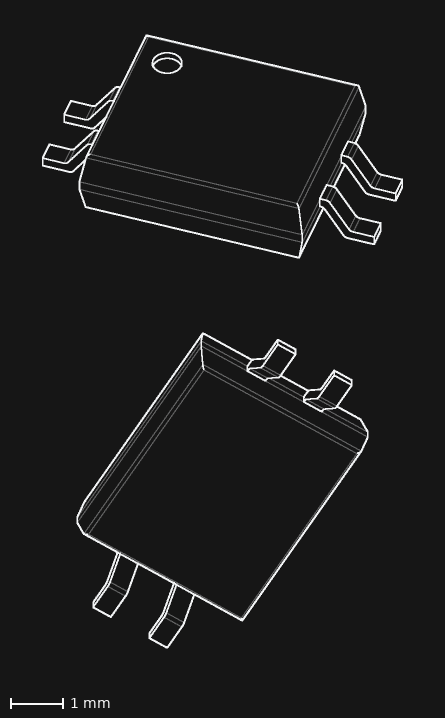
import cadquery as cq
import math

overall_length = 6.71
body_length = 4.51
body_width = 3.76
standoff = 0.1
body_top = 1.5
draft_angle = 10.0
body_edge_radius = 0.07

lead_thickness = 0.2
lead_width = 0.4
lead_pitch = 1.27
lead_top = 0.87
lead_bend_radius = 0.1
foot_length = 0.48
ramp_run = 0.44

mark_diameter = 0.565
mark_depth = 0.15
mark_x = -1.51
mark_y = 1.14

band_top = lead_top
band_bottom = lead_top - lead_thickness


def make_body():
    """Moulded body: a straight band with tapered halves and a pin-one recess."""
    band = (
        cq.Workplane("XY")
        .workplane(offset=band_bottom)
        .rect(body_length, body_width)
        .extrude(band_top - band_bottom)
    )
    upper = (
        cq.Workplane("XY")
        .workplane(offset=band_top)
        .rect(body_length, body_width)
        .extrude(body_top - band_top, taper=draft_angle)
    )
    lower = (
        cq.Workplane("XY")
        .workplane(offset=band_bottom)
        .rect(body_length, body_width)
        .extrude(standoff - band_bottom, taper=draft_angle)
    )
    body = band.union(upper).union(lower)
    body = body.faces(">Z or <Z").edges().fillet(body_edge_radius)
    mark = (
        cq.Workplane("XY")
        .workplane(offset=body_top - mark_depth)
        .center(mark_x, mark_y)
        .circle(mark_diameter / 2)
        .extrude(mark_depth)
    )
    return body.cut(mark)


def make_lead(y_center):
    """Gull-wing lead on the -X side, ending flush against the body band."""
    tip_x = -overall_length / 2
    body_face_x = -body_length / 2
    ramp_angle = math.atan2(band_bottom, ramp_run)
    corner_shift = lead_thickness * math.tan(ramp_angle / 2)
    foot_corner_x = tip_x + foot_length
    shoulder_corner_x = foot_corner_x + ramp_run

    profile = [
        (tip_x, 0),
        (foot_corner_x + corner_shift, 0),
        (shoulder_corner_x + corner_shift, band_bottom),
        (body_face_x, band_bottom),
        (body_face_x, lead_top),
        (shoulder_corner_x, lead_top),
        (foot_corner_x, lead_thickness),
        (tip_x, lead_thickness),
    ]
    lead = (
        cq.Workplane("XZ", origin=(0, y_center + lead_width / 2, 0))
        .polyline(profile)
        .close()
        .extrude(lead_width)
    )
    bends = lead.edges("|Y").edges(
        cq.selectors.BoxSelector(
            (tip_x + lead_bend_radius / 2, y_center - lead_width, -lead_thickness),
            (body_face_x - lead_bend_radius / 2, y_center + lead_width, body_top),
        )
    )
    return bends.fillet(lead_bend_radius)


body = make_body()

leads = []
for y_center in (-lead_pitch / 2, lead_pitch / 2):
    left_lead = make_lead(y_center)
    leads.append(left_lead.val())
    leads.append(left_lead.mirror("YZ").val())

result = cq.Compound.makeCompound([body.val(), *leads])